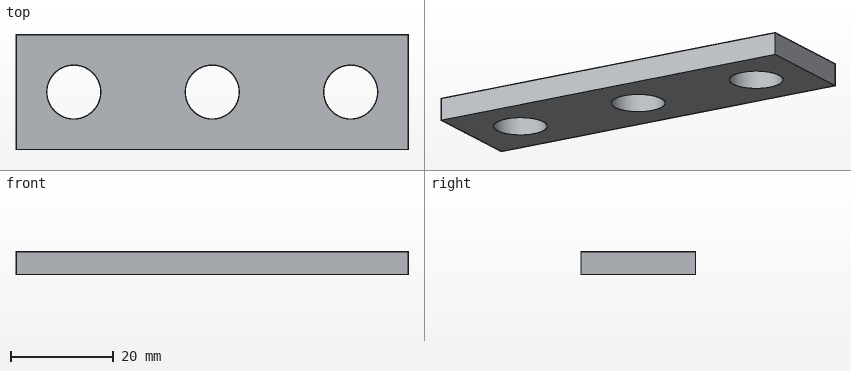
import cadquery as cq

length = 76.2
width = 22.3
thickness = 4.5

hole_diameter = 10.45
hole_spacing = 26.9
hole_count = 3

bar = cq.Workplane("XY").box(length, width, thickness)

result = (
    bar.faces(">Z")
    .workplane()
    .rarray(hole_spacing, width, hole_count, 1)
    .hole(hole_diameter)
)